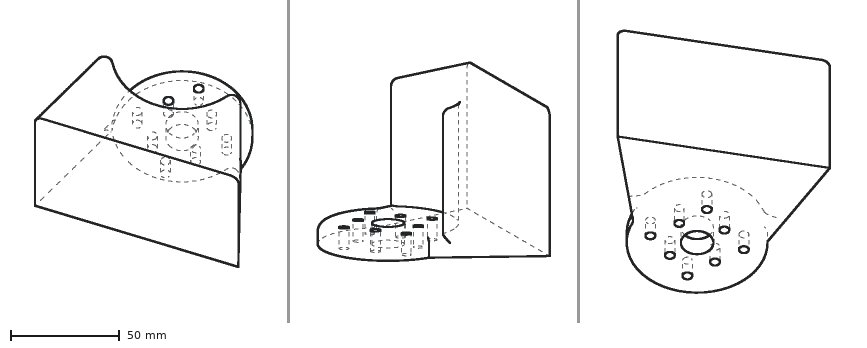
import cadquery as cq
import math

base_width = 100.0
base_depth = 60.0
height = 70.0
plate_thickness = 10.0
disc_radius = 32.5
neck_y = -7.4
edge_radius = 4.0
tip_retreat = 6.0
pick_margin = 0.5

center_bore = 15.0
screw_hole = 4.5
screws_per_ring = 4
outer_screw_radius = 22.0
inner_screw_radius = 15.0

neck_x = math.sqrt(disc_radius**2 - neck_y**2)
back_y = -base_depth


def tapered_block(block_height):
    """Trapezoidal prism running from the flat back face to the disc."""
    return (
        cq.Workplane("XY")
        .moveTo(-base_width / 2, back_y)
        .lineTo(base_width / 2, back_y)
        .lineTo(neck_x, neck_y)
        .lineTo(-neck_x, neck_y)
        .close()
        .extrude(block_height)
    )


def disc(disc_height):
    """Round prism used for the plate and for the hollow in the block."""
    return cq.Workplane("XY").circle(disc_radius).extrude(disc_height)


def rounded_body():
    """Plate and tall block with a round hollow, all free edges rounded."""
    plate = disc(plate_thickness).union(tapered_block(plate_thickness))
    hollow = disc(height).translate((0, 0, plate_thickness))
    body = plate.union(tapered_block(height).cut(hollow))
    tips = cq.selectors.BoxSelector(
        (-base_width, neck_y - pick_margin, plate_thickness + pick_margin),
        (base_width, neck_y + pick_margin, height - pick_margin),
    )
    body = body.edges(tips).fillet(edge_radius)
    top_rim = body.faces(">Z").edges("not <Y")
    body = body.newObject(top_rim.vals()).fillet(edge_radius)
    rim = cq.selectors.BoxSelector(
        (-base_width, neck_y - tip_retreat, plate_thickness - pick_margin),
        (base_width, disc_radius, plate_thickness + pick_margin),
    )
    return body.edges(rim).fillet(edge_radius)


def screw_ring(ring_radius, start_angle):
    """Four through-hole cutters evenly spaced on a circle."""
    return (
        cq.Workplane("XY")
        .polarArray(ring_radius, start_angle, 360, screws_per_ring)
        .circle(screw_hole / 2)
        .extrude(plate_thickness)
    )


bore = cq.Workplane("XY").circle(center_bore / 2).extrude(plate_thickness)
result = (
    rounded_body()
    .cut(bore)
    .cut(screw_ring(outer_screw_radius, 0))
    .cut(screw_ring(inner_screw_radius, 45))
)